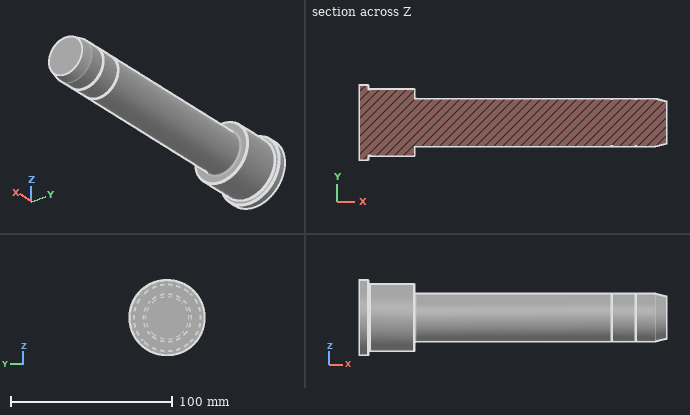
import cadquery as cq

length = 191.0

head_diameter = 47.0
head_thickness = 6.0
head_chamfer = 0.5

collar_diameter = 42.0
collar_end = 34.5
collar_chamfer = 0.5
neck_diameter = 40.9
neck_width = 1.1

shaft_diameter = 30.0
root_fillet = 0.5
lead_length = 7.3
lead_end_diameter = 26.4

groove_pitch = 14.9
groove_width = 0.5
groove_depth = 0.4
first_groove_start = 156.6
groove_count = 2


def cylinder(start, end, diameter):
    """Solid cylinder along X between two stations."""
    return cq.Workplane("YZ", origin=(start, 0, 0)).circle(diameter / 2).extrude(end - start)


def ring_groove(start):
    """Ring of material to be cut from the shaft surface."""
    outside = cylinder(start, start + groove_width, shaft_diameter + 2 * groove_depth)
    core = cylinder(start, start + groove_width, shaft_diameter - 2 * groove_depth)
    return outside.cut(core)


neck_end = head_thickness + neck_width
head = cylinder(0, head_thickness, head_diameter).faces(">X").edges().chamfer(head_chamfer)
neck = cylinder(0, neck_end, neck_diameter)
collar = cylinder(neck_end, collar_end, collar_diameter).faces(">X").edges().chamfer(collar_chamfer)

lead_drop = (shaft_diameter - lead_end_diameter) / 2
shaft = cylinder(0, length, shaft_diameter).faces(">X").edges().chamfer(lead_length, lead_drop)

shaft_radius = shaft_diameter / 2
root = (
    cq.Workplane("XY")
    .moveTo(collar_end, 0)
    .lineTo(collar_end, shaft_radius + root_fillet)
    .radiusArc((collar_end + root_fillet, shaft_radius), -root_fillet)
    .lineTo(collar_end + root_fillet, 0)
    .close()
    .revolve(360, (0, 0, 0), (1, 0, 0))
)

result = head.union(neck).union(collar).union(shaft).union(root)
for index in range(groove_count):
    result = result.cut(ring_groove(first_groove_start + index * groove_pitch))